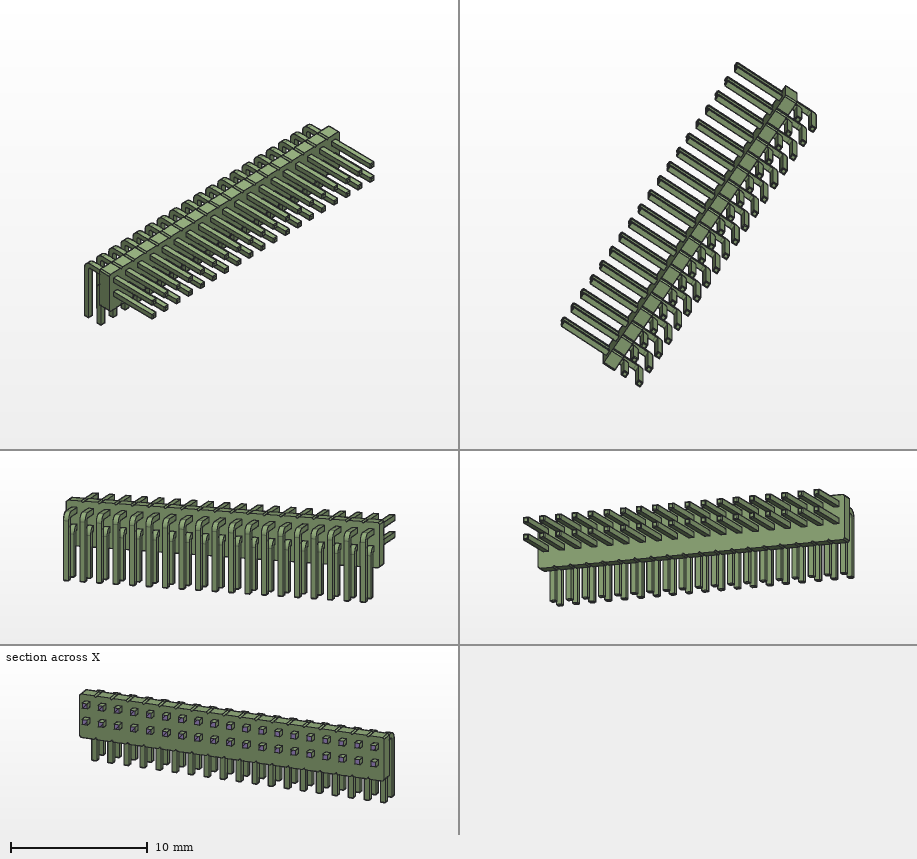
import cadquery as cq


columns = 19
bar_length = 24.13
pitch = bar_length / columns
overall_width = 6.97
overall_height = 5.62

bar_width = 1.0
bar_height = 3.4
bar_center_x = 2.27
block_chamfer = 0.12

pin_size = 0.4
inner_bend_radius = 0.2
tip_chamfer = 0.07
upper_row_depth = 0.7

tip_x = overall_width - pin_size / 2
upper_row_z = overall_height - upper_row_depth
bend_axis_radius = inner_bend_radius + pin_size / 2
column_places = [(i - (columns - 1) / 2) * pitch for i in range(columns)]


def make_block():
    """One block of the bar, chamfered along its four edges parallel to X."""
    return (
        cq.Workplane("XY")
        .box(bar_width, pitch, bar_height)
        .edges("|X")
        .chamfer(block_chamfer)
        .translate((bar_center_x, 0, overall_height - bar_height / 2))
    )


def make_pin(leg_x, row_z):
    """Square pin rising from its leg tip, bending a quarter turn and running along +X."""
    path = (
        cq.Workplane("XZ")
        .moveTo(leg_x, 0)
        .lineTo(leg_x, row_z - bend_axis_radius)
        .radiusArc((leg_x + bend_axis_radius, row_z), bend_axis_radius)
        .lineTo(tip_x, row_z)
    )
    pin = cq.Workplane("XY").center(leg_x, 0).rect(pin_size, pin_size).sweep(path)
    return pin.faces("<Z or >X").chamfer(tip_chamfer)


outer_pin = make_pin(0, upper_row_z)
inner_pin = make_pin(pitch, upper_row_z - pitch)
column = make_block().union(outer_pin).union(inner_pin)

result = column.translate((0, column_places[0], 0))
for y in column_places[1:]:
    result = result.union(column.translate((0, y, 0)))